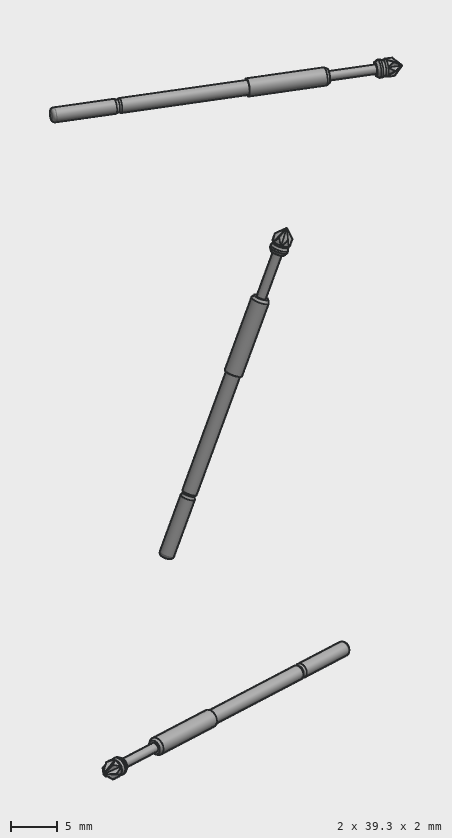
import cadquery as cq
import math

total_length = 39.3
body_diameter = 2.0
stem_diameter = 1.05
tail_diameter = 1.65

body_radius = body_diameter / 2
stem_radius = stem_diameter / 2
tail_radius = tail_diameter / 2

head_end = 1.8
collar_end = 3.0
sleeve_start = 8.3
sleeve_end = 17.35
crimp_start = 31.55

groove_fall = 0.25
groove_rise = 0.35
neck_depth = 0.1
crimp_depth = 0.1

chamfer_length = 0.35
chamfer_angle = 30
chamfer_depth = chamfer_length * math.tan(math.radians(chamfer_angle))

tail_fillet = 0.4

ridge_count = 6
ridge_half_angle = 45
valley_half_angle = 28.5


def at(radius, distance):
    """Point of the turned profile at a radius and a distance back from the tip."""
    return (radius, total_length / 2 - distance)


def add_groove(profile, rim_radius, start, depth):
    """Continue a profile from a rim point down the cone of a groove and up its arc."""
    bottom_radius = rim_radius - depth
    bottom = start + groove_fall
    arc_radius = (groove_rise**2 + depth**2) / (2 * depth)
    half_sweep = math.asin(groove_rise / arc_radius) / 2
    arc_middle = at(
        bottom_radius + arc_radius * (1 - math.cos(half_sweep)),
        bottom + arc_radius * math.sin(half_sweep),
    )
    return (
        profile.lineTo(*at(bottom_radius, bottom))
        .threePointArc(arc_middle, at(rim_radius, bottom + groove_rise))
    )


def cone_radius(half_angle):
    """Radius that a cone from the tip has reached at the back of the head."""
    return head_end * math.tan(math.radians(half_angle))


def star_head():
    """Six-ridged star pyramid, trimmed to the round body diameter."""
    tip = cq.Vector(0, total_length / 2, 0)
    corners = []
    for index in range(2 * ridge_count):
        angle = math.pi * index / ridge_count
        radius = cone_radius(valley_half_angle if index % 2 else ridge_half_angle)
        corners.append(
            cq.Vector(radius * math.cos(angle), total_length / 2 - head_end, radius * math.sin(angle))
        )

    faces = [cq.Face.makeFromWires(cq.Wire.makePolygon(corners, close=True))]
    for index, corner in enumerate(corners):
        edge_loop = cq.Wire.makePolygon([corners[index - 1], corner, tip], close=True)
        faces.append(cq.Face.makeFromWires(edge_loop))
    pyramid = cq.Workplane(cq.Solid.makeSolid(cq.Shell.makeShell(faces)))

    envelope = (
        cq.Workplane("XZ", origin=(0, total_length / 2, 0)).circle(body_radius).extrude(head_end)
    )
    return envelope.intersect(pyramid)


def turned_body():
    """Everything behind the head: neck, collar, stem, sleeve and tail."""
    profile = cq.Workplane("XY").moveTo(*at(0, head_end)).lineTo(*at(body_radius, head_end))
    profile = add_groove(profile, body_radius, head_end, neck_depth)

    profile = (
        profile.lineTo(*at(body_radius, collar_end - chamfer_length))
        .lineTo(*at(body_radius - chamfer_depth, collar_end))
        .lineTo(*at(stem_radius, collar_end))
        .lineTo(*at(stem_radius, sleeve_start))
        .lineTo(*at(body_radius - chamfer_depth, sleeve_start))
        .lineTo(*at(body_radius, sleeve_start + chamfer_length))
        .lineTo(*at(body_radius, sleeve_end))
    )

    profile = profile.lineTo(*at(tail_radius, sleeve_end)).lineTo(*at(tail_radius, crimp_start))
    profile = add_groove(profile, tail_radius, crimp_start, crimp_depth)
    fillet_inset = tail_fillet * (1 - math.sqrt(0.5))
    profile = (
        profile.lineTo(*at(tail_radius, total_length - tail_fillet))
        .threePointArc(
            at(tail_radius - fillet_inset, total_length - fillet_inset),
            at(tail_radius - tail_fillet, total_length),
        )
        .lineTo(*at(0, total_length))
        .close()
    )
    return profile.revolve(360, (0, 0, 0), (0, 1, 0))


result = turned_body().union(star_head())